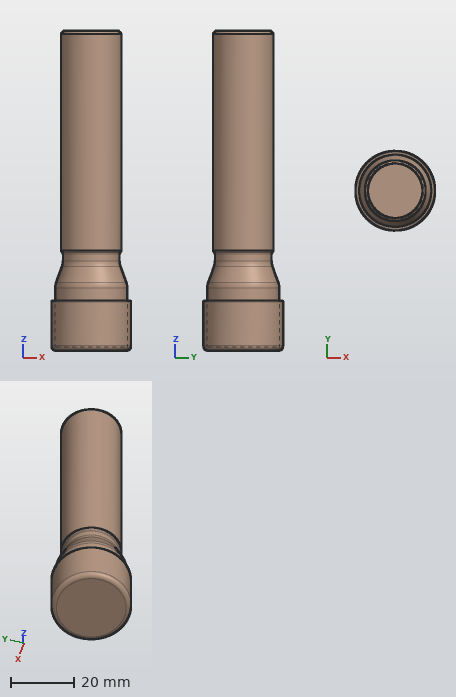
import cadquery as cq
import math

total_height = 101.6
cap_radius = 12.7
cap_height = 16.0
cap_bottom_fillet = 1.6
cap_lip_fillet = 0.5

shank_radius = 9.7
neck_radius = 9.0
foot_radius = 11.5
foot_top = 20.0
wall = cap_radius - foot_radius
socket_floor = wall

shank_chamfer = 1.0
shank_bottom = 31.8
undercut_drop = 1.0
undercut_radius = 0.6

taper_angle = math.radians(20)
blend_radius = 5.0
blend_height = blend_radius * math.sin(taper_angle)
blend_inset = blend_radius * (1 - math.cos(taper_angle))
cone_height = (foot_radius - neck_radius - 2 * blend_inset) / math.tan(taper_angle)
cone_bottom = foot_top + blend_height
cone_top = cone_bottom + cone_height
neck_bottom = cone_top + blend_height
neck_top = shank_bottom - undercut_drop


def arc_point(center_radius, center_height, radius, angle):
    """Point in the radial plane at an angle from the outward direction."""
    return (
        center_radius + radius * math.cos(angle),
        center_height + radius * math.sin(angle),
    )


def make_cap():
    """Round cap with a blind socket and rounded outer edges."""
    cap = cq.Workplane("XY").circle(cap_radius).extrude(cap_height)
    cap = cap.faces("<Z").edges().fillet(cap_bottom_fillet)
    cap = cap.faces(">Z").edges().fillet(cap_lip_fillet)
    socket = (
        cq.Workplane("XY")
        .workplane(offset=socket_floor)
        .circle(foot_radius)
        .extrude(cap_height - socket_floor)
    )
    return cap.cut(socket)


def make_pin():
    """Revolved pin with foot, tapered shoulder, neck and chamfered shank."""
    foot_center = foot_radius - blend_radius
    foot_arc_middle = arc_point(foot_center, foot_top, blend_radius, taper_angle / 2)
    foot_arc_end = arc_point(foot_center, foot_top, blend_radius, taper_angle)

    neck_center = neck_radius + blend_radius
    neck_arc_start = arc_point(neck_center, neck_bottom, blend_radius, math.pi + taper_angle)
    neck_arc_middle = arc_point(neck_center, neck_bottom, blend_radius, math.pi + taper_angle / 2)

    undercut_center = neck_radius + undercut_radius
    undercut_middle = arc_point(undercut_center, neck_top, undercut_radius, math.pi * 7 / 8)
    undercut_end = arc_point(undercut_center, neck_top, undercut_radius, math.pi * 3 / 4)

    profile = (
        cq.Workplane("XZ")
        .moveTo(0, socket_floor)
        .lineTo(foot_radius, socket_floor)
        .lineTo(foot_radius, foot_top)
        .threePointArc(foot_arc_middle, foot_arc_end)
        .lineTo(*neck_arc_start)
        .threePointArc(neck_arc_middle, (neck_radius, neck_bottom))
        .lineTo(neck_radius, neck_top)
        .threePointArc(undercut_middle, undercut_end)
        .lineTo(shank_radius, shank_bottom)
        .lineTo(shank_radius, total_height - shank_chamfer)
        .lineTo(shank_radius - shank_chamfer, total_height)
        .lineTo(0, total_height)
        .close()
    )
    return profile.revolve(360, (0, 0, 0), (0, 1, 0))


cap = make_cap()
pin = make_pin()

result = cq.Compound.makeCompound([cap.val(), pin.val()])